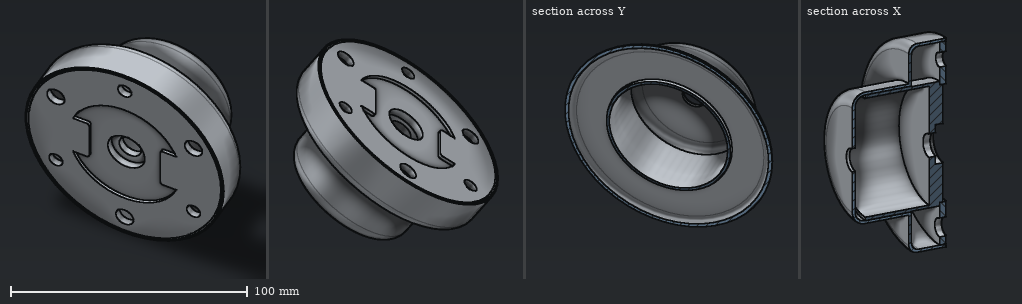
import cadquery as cq
import math


FLANGE_RADIUS = 47.5
FLANGE_DEPTH = 18.05
FLANGE_FILLET = 4.0
INNER_FLANGE_FILLET = 3.2
BOSS_RADIUS = 29.9
TOTAL_DEPTH = 45.1
BOSS_FILLET = 6.2
WALL = 1.5
RIM_CHAMFER = 0.9

PLATE_RADIUS = FLANGE_RADIUS - WALL
PLATE_THICKNESS = 3.3
HOLE_CIRCLE_RADIUS = 38.0
HOLE_COUNT = 6
SMALL_HOLE_RADIUS = 3.2
LARGE_HOLE_RADIUS = 4.2

BOW_RADIUS = 26.6
NOTCH_WIDTH = 19.95
NOTCH_FLOOR_X = 17.0
NOTCH_FILLET = 1.2

HUB_RECESS = 1.5
COUNTERBORE_RADIUS = 8.8
COUNTERBORE_DEPTH = 3.5
CENTER_HOLE_RADIUS = 5.2
HUB_WEB = 3.3
HUB_FLOOR = HUB_RECESS + COUNTERBORE_DEPTH + HUB_WEB
HUB_RADIUS = BOSS_RADIUS - WALL
HUB_BACK = TOTAL_DEPTH - BOSS_FILLET


def cylinder(radius, front, back, x=0.0, z=0.0):
    """A cylinder along Y from front to back, centred on x and z."""
    return cq.Workplane("XZ", origin=(x, front, z)).circle(radius).extrude(front - back)


def stepped_knob(offset, flange_fillet, boss_fillet):
    """The solid flange and boss with rounded back edges, their walls moved inward by offset."""
    flange = cylinder(FLANGE_RADIUS - offset, 0, FLANGE_DEPTH - offset)
    flange = flange.faces(">Y").edges().fillet(flange_fillet)
    boss = cylinder(BOSS_RADIUS - offset, 0, TOTAL_DEPTH - offset)
    boss = boss.faces(">Y").edges().fillet(boss_fillet)
    return flange.union(boss)


def make_housing():
    """The shell, with a chamfer inside its front rim and a hole through its back wall."""
    rim_chamfer = (
        cq.Workplane("XY")
        .moveTo(PLATE_RADIUS, 0)
        .lineTo(PLATE_RADIUS + RIM_CHAMFER, 0)
        .lineTo(PLATE_RADIUS, RIM_CHAMFER)
        .close()
        .revolve(360, (0, 0, 0), (0, 1, 0))
    )
    outside = stepped_knob(0, FLANGE_FILLET, BOSS_FILLET)
    inside = stepped_knob(WALL, INNER_FLANGE_FILLET, BOSS_FILLET - WALL)
    shell = outside.cut(inside)
    back_hole = cylinder(CENTER_HOLE_RADIUS, TOTAL_DEPTH - WALL, TOTAL_DEPTH)
    return shell.cut(rim_chamfer).cut(back_hole)


def bow_tie(front, back):
    """A disc along Y with a rectangular notch in its left and right sides."""
    notch_depth = BOW_RADIUS - NOTCH_FLOOR_X
    notch_length = 2 * notch_depth
    body = cylinder(BOW_RADIUS, front, back)
    for side in (-1, 1):
        notch = (
            cq.Workplane("XY")
            .box(notch_length, back - front, NOTCH_WIDTH)
            .edges("|Y")
            .fillet(NOTCH_FILLET)
            .translate((side * BOW_RADIUS, (front + back) / 2, 0))
        )
        body = body.cut(notch)
    return body


def make_plate():
    """The cover plate, with a bow-tie window and a ring of alternating small and large holes."""
    plate = cylinder(PLATE_RADIUS, 0, PLATE_THICKNESS).cut(bow_tie(0, PLATE_THICKNESS))
    for i in range(HOLE_COUNT):
        angle = math.radians(90 + i * 360 / HOLE_COUNT)
        x = HOLE_CIRCLE_RADIUS * math.cos(angle)
        z = HOLE_CIRCLE_RADIUS * math.sin(angle)
        radius = SMALL_HOLE_RADIUS if i % 2 == 0 else LARGE_HOLE_RADIUS
        plate = plate.cut(cylinder(radius, 0, PLATE_THICKNESS, x, z))
    return plate


def make_hub():
    """The cup and its bow-tie block, with a counterbored hole through the closed front."""
    block = bow_tie(HUB_RECESS, PLATE_THICKNESS)
    cup = cylinder(HUB_RADIUS, PLATE_THICKNESS, HUB_BACK)
    cavity = cylinder(HUB_RADIUS - WALL, HUB_FLOOR, HUB_BACK)
    counterbore = cylinder(COUNTERBORE_RADIUS, HUB_RECESS, HUB_RECESS + COUNTERBORE_DEPTH)
    center_hole = cylinder(CENTER_HOLE_RADIUS, HUB_RECESS, HUB_FLOOR)
    return block.union(cup).cut(cavity).cut(counterbore).cut(center_hole)


housing = make_housing()
plate = make_plate()
hub = make_hub()

result = cq.Compound.makeCompound([housing.val(), plate.val(), hub.val()])